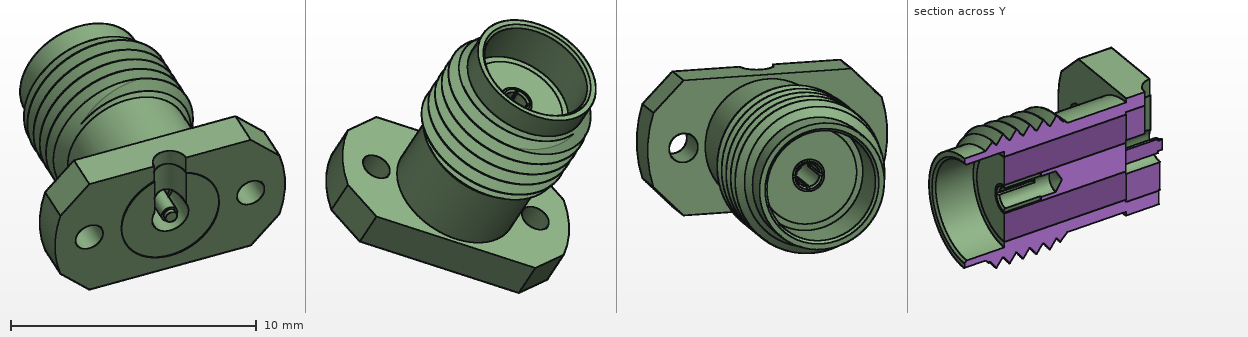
import cadquery as cq
import math


flange_front = 7.84
flange_rear = 9.45
ferrule_rear = 9.49
pin_shoulder = 9.40
pin_tip = 9.60
bore_floor = 1.93

barrel_diameter = 5.29
bore_diameter = 4.60
bore_mouth_diameter = 4.82
bore_mouth_depth = 0.11

thread_diameter = 6.35
thread_root_diameter = 5.53
thread_front = 1.02
thread_rear = 5.0
thread_pitch = 0.65
crest_flat = 0.03
root_flat = 0.01
groove_start = 0.577
groove_turns = 7.5
groove_overcut = 0.01
rod_allowance = 1.0

flange_width = 10.16
flange_height = 5.66
corner_chamfer_start = 3.56
screw_hole_diameter = 1.21
screw_hole_offset = 3.56
notch_radius = 0.70

insulator_diameter = 4.07
ferrule_diameter = 4.30
ferrule_bore = 1.60
socket_diameter = 1.34
socket_bore = 0.98
socket_mouth_diameter = 1.16
socket_depth = 2.5
drill_point_angle = 118
slot_width = 0.11
slot_length = 1.8
pin_diameter = 0.70
pin_tip_diameter = 0.51


def rod(diameter, start, end):
    """Cylinder on the connector axis between two X positions."""
    return cq.Workplane("YZ", origin=(start, 0, 0)).circle(diameter / 2).extrude(end - start)


def turned(points):
    """Solid of revolution about the connector axis from (x, radius) points."""
    return cq.Workplane("XY").polyline(points).close().revolve(360, (0, 0, 0), (1, 0, 0))


def barrel_blank():
    """Plain barrel with an uncut thread band whose 45 degree ends run down to it."""
    barrel_radius = barrel_diameter / 2
    thread_radius = thread_diameter / 2
    end_length = thread_radius - barrel_radius
    return turned([
        (0, 0),
        (0, barrel_radius),
        (thread_front, barrel_radius),
        (thread_front + end_length, thread_radius),
        (thread_rear - end_length, thread_radius),
        (thread_rear, barrel_radius),
        (flange_front, barrel_radius),
        (flange_front, 0),
    ])


def thread_groove():
    """Helical V cutter that starts and ends beyond both ends of the thread."""
    root_radius = thread_root_diameter / 2
    crest_radius = thread_diameter / 2
    root_half_width = root_flat / 2
    crest_half_width = (thread_pitch - crest_flat) / 2
    flank_slope = (crest_half_width - root_half_width) / (crest_radius - root_radius)
    outer_radius = crest_radius + groove_overcut
    outer_half_width = crest_half_width + flank_slope * groove_overcut
    helix = cq.Wire.makeHelix(thread_pitch, groove_turns * thread_pitch, root_radius)
    groove = (
        cq.Workplane("XZ")
        .polyline([
            (root_radius, root_half_width),
            (outer_radius, outer_half_width),
            (outer_radius, -outer_half_width),
            (root_radius, -root_half_width),
        ])
        .close()
        .sweep(cq.Workplane(helix), isFrenet=True)
    )
    return groove.rotate((0, 0, 0), (0, 1, 0), 90).translate((groove_start, 0, 0))


def threaded_barrel():
    """Long grooved rod trimmed to the barrel shape, so the thread fades out at its ends."""
    grooved_rod = rod(thread_diameter, -rod_allowance, flange_front + rod_allowance).cut(thread_groove())
    return grooved_rod.intersect(barrel_blank())


def flange_plate():
    """Plate with rounded ends, 45 degree corners and two screw holes."""
    plate = rod(flange_width, flange_front, flange_rear)
    half_height = flange_height / 2
    diamond_reach = corner_chamfer_start + half_height
    outline = (
        cq.Workplane("YZ", origin=(flange_front, 0, 0))
        .polyline([
            (corner_chamfer_start, half_height),
            (diamond_reach, 0),
            (corner_chamfer_start, -half_height),
            (-corner_chamfer_start, -half_height),
            (-diamond_reach, 0),
            (-corner_chamfer_start, half_height),
        ])
        .close()
        .extrude(flange_rear - flange_front)
    )
    plate = plate.intersect(outline)
    for side in (-1, 1):
        hole = rod(screw_hole_diameter, flange_front, flange_rear)
        plate = plate.cut(hole.translate((0, side * screw_hole_offset, 0)))
    return plate


def rear_notch():
    """Half-round notch in the rear face, from the top edge down to the axis."""
    return cq.Workplane("XY", origin=(flange_rear, 0, 0)).circle(notch_radius).extrude(flange_height)


def make_housing():
    bore_mouth = turned([
        (0, 0),
        (0, bore_mouth_diameter / 2),
        (bore_mouth_depth, bore_diameter / 2),
        (bore_mouth_depth, 0),
    ])
    return (
        threaded_barrel()
        .union(flange_plate())
        .cut(bore_mouth)
        .cut(rod(bore_diameter, 0, bore_floor))
        .cut(rod(insulator_diameter, bore_floor, flange_front))
        .cut(rod(ferrule_diameter, flange_front, flange_rear))
        .cut(rear_notch())
    )


def make_ferrule():
    ring = rod(ferrule_diameter, flange_front, ferrule_rear)
    return ring.cut(rod(ferrule_bore, flange_front, ferrule_rear)).cut(rear_notch())


def make_insulator():
    body = rod(insulator_diameter, bore_floor, flange_front)
    return body.cut(rod(socket_diameter, bore_floor, flange_front))


def make_socket():
    """Slotted contact with a chamfered mouth and a drilled, pointed bore."""
    bore_radius = socket_bore / 2
    mouth_radius = socket_mouth_diameter / 2
    bore_end = bore_floor + socket_depth
    point_length = bore_radius / math.tan(math.radians(drill_point_angle / 2))
    drilled = turned([
        (bore_floor, 0),
        (bore_floor, mouth_radius),
        (bore_floor + mouth_radius - bore_radius, bore_radius),
        (bore_end, bore_radius),
        (bore_end + point_length, 0),
    ])
    socket = rod(socket_diameter, bore_floor, flange_front).cut(drilled)
    slot = (
        cq.Workplane("XY", origin=(bore_floor, 0, 0))
        .box(slot_length, slot_width, socket_diameter, centered=(False, True, True))
    )
    for angle in (0, 90):
        socket = socket.cut(slot.rotate((0, 0, 0), (1, 0, 0), angle))
    return socket


def make_pin():
    shank = rod(pin_diameter, flange_front, pin_shoulder)
    return shank.union(rod(pin_tip_diameter, pin_shoulder, pin_tip))


housing = make_housing()
ferrule = make_ferrule()
insulator = make_insulator()
socket = make_socket()
pin = make_pin()

result = cq.Compound.makeCompound([
    housing.val(),
    ferrule.val(),
    insulator.val(),
    socket.val(),
    pin.val(),
])